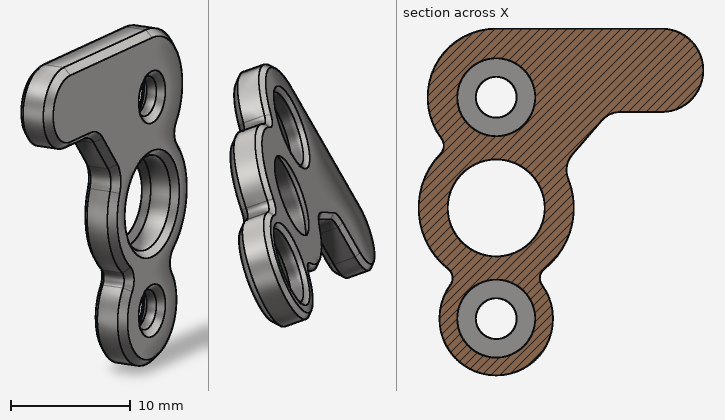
import cadquery as cq
import math

THICKNESS = 3.0
LENGTH = 29.0
WIDTH = 23.8
FRONT_CHAMFER = 0.44
BACK_CHAMFER = 0.6

HOLE_PITCH = 9.25
MIDDLE_RADIUS = 6.5
LOWER_RADIUS = 4.75
UPPER_RADIUS = LENGTH - 2 * HOLE_PITCH - LOWER_RADIUS
NECK_FILLET = 1.0

ARM_HEIGHT = 7.0
WEB_FILLET = 2.0
WEB_ANGLE = math.radians(49.2)
WEB_CORNER_Y = -9.42

MIDDLE_HOLE = 7.0
BORE_DIAMETER = 8.1
LIP_THICKNESS = 0.55
SCREW_HOLE = 3.4
RECESS_DIAMETER = 6.5
RECESS_DEPTH = 1.5
RECESS_CHAMFER = 0.4
BACK_HOLE_CHAMFER = 0.55

arm_radius = ARM_HEIGHT / 2
arm_top = HOLE_PITCH + UPPER_RADIUS
arm_bottom = arm_top - ARM_HEIGHT
arm_end_y = MIDDLE_RADIUS - WIDTH + arm_radius


def disc(radius, z, x_start=0, depth=THICKNESS):
    """Solid disc centred on the row of lobes, running toward +X from x_start."""
    return cq.Workplane("YZ", origin=(x_start, 0, z)).circle(radius).extrude(depth)


def arm_and_web():
    """Round-ended arm joined to the lobes by the sloped web."""
    web_foot_y = WEB_CORNER_Y + arm_bottom / math.tan(WEB_ANGLE)
    return (
        cq.Workplane("YZ")
        .moveTo(0, arm_top)
        .lineTo(arm_end_y, arm_top)
        .threePointArc((arm_end_y - arm_radius, arm_top - arm_radius), (arm_end_y, arm_bottom))
        .lineTo(WEB_CORNER_Y, arm_bottom)
        .lineTo(web_foot_y, 0)
        .lineTo(0, 0)
        .close()
        .extrude(THICKNESS)
    )


def lobe_crossing(lobe_radius, side):
    """Point where an end lobe of this radius crosses the middle lobe; its z is above the middle."""
    z = (HOLE_PITCH**2 + MIDDLE_RADIUS**2 - lobe_radius**2) / (2 * HOLE_PITCH)
    return side * math.sqrt(MIDDLE_RADIUS**2 - z**2), z


def web_crossing():
    """Point where the web's slope crosses the middle lobe."""
    along_y = math.cos(WEB_ANGLE)
    along_z = -math.sin(WEB_ANGLE)
    b = WEB_CORNER_Y * along_y + arm_bottom * along_z
    c = WEB_CORNER_Y**2 + arm_bottom**2 - MIDDLE_RADIUS**2
    s = -b - math.sqrt(b**2 - c)
    return WEB_CORNER_Y + s * along_y, arm_bottom + s * along_z


def round_corner(body, corner, radius):
    """Fillet the edge that runs through the thickness at the (y, z) corner."""
    y, z = corner
    nearest = cq.selectors.NearestToPointSelector((THICKNESS / 2, y, z))
    return body.edges("|X").edges(nearest).fillet(radius)


def plate():
    body = disc(MIDDLE_RADIUS, 0)
    body = body.union(disc(UPPER_RADIUS, HOLE_PITCH))
    body = body.union(disc(LOWER_RADIUS, -HOLE_PITCH))
    body = body.union(arm_and_web()).clean()

    for side in (-1, 1):
        y, z = lobe_crossing(LOWER_RADIUS, side)
        body = round_corner(body, (y, -z), NECK_FILLET)
    body = round_corner(body, lobe_crossing(UPPER_RADIUS, 1), NECK_FILLET)
    body = round_corner(body, web_crossing(), WEB_FILLET)
    body = round_corner(body, (WEB_CORNER_Y, arm_bottom), WEB_FILLET)

    body = body.faces("<X").chamfer(FRONT_CHAMFER)
    return body.faces(">X").chamfer(BACK_CHAMFER)


def cone(z, x_start, start_radius, x_end, end_radius):
    """Truncated cone along X, centred on the row of lobes."""
    return (
        cq.Workplane("YZ", origin=(x_start, 0, z))
        .circle(start_radius)
        .workplane(offset=x_end - x_start)
        .circle(end_radius)
        .loft(ruled=True)
    )


def hole_cutter(radius, z, x_start=0):
    """Hole from x_start out through the +X face, chamfered at its mouth there."""
    back_mouth = cone(z, THICKNESS - BACK_HOLE_CHAMFER, radius, THICKNESS, radius + BACK_HOLE_CHAMFER)
    return disc(radius, z, x_start, THICKNESS - x_start).union(back_mouth)


def recess_cutter(z):
    """Flat-bottomed recess for a screw head, chamfered at its mouth on the -X face."""
    radius = RECESS_DIAMETER / 2
    front_mouth = cone(z, 0, radius + RECESS_CHAMFER, RECESS_CHAMFER, radius)
    return disc(radius, z, depth=RECESS_DEPTH).union(front_mouth)


def middle_cutter():
    """Middle hole that widens through a conical lip into a larger bore open on the +X face."""
    bore_radius = BORE_DIAMETER / 2
    lip = cone(0, 0, MIDDLE_HOLE / 2, LIP_THICKNESS, bore_radius)
    return lip.union(hole_cutter(bore_radius, 0, x_start=LIP_THICKNESS))


result = plate().cut(middle_cutter())
for hole_z in (-HOLE_PITCH, HOLE_PITCH):
    result = result.cut(hole_cutter(SCREW_HOLE / 2, hole_z))
    result = result.cut(recess_cutter(hole_z))